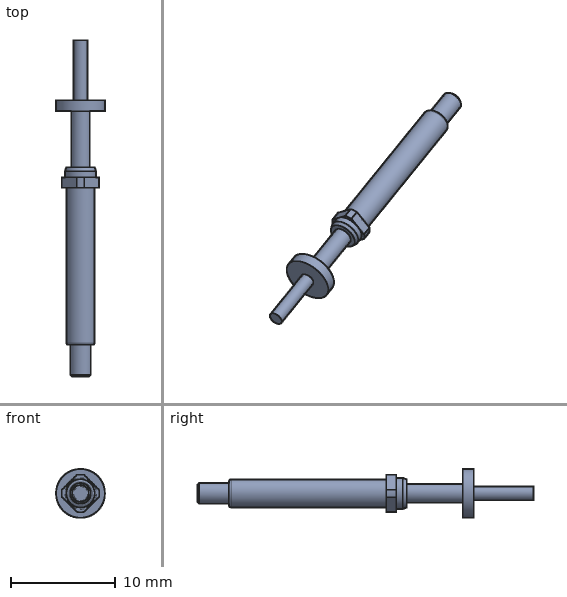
import cadquery as cq

overall_length = 32.1

pin_radius = 1.0
pin_length = 3.02
pin_chamfer = 0.2

body_radius = 1.35
body_length = 15.0
body_end_round = 0.22

flange_radius = 1.8
flange_across_flats = 3.0
flange_thickness = 1.0

collar_radius = flange_across_flats / 2
collar_length = 1.0
collar_cone_length = 0.4
collar_end_radius = body_radius

shaft_radius = 0.9
shaft_length = 5.33
disc_radius = 2.35
disc_thickness = 1.05
tail_radius = 0.67

body_front = pin_length
flange_front = body_front + body_length
collar_front = flange_front + flange_thickness
shaft_front = collar_front + collar_length
disc_front = shaft_front + shaft_length
tail_front = disc_front + disc_thickness


def round_section(start, end, radius):
    """Cylinder around the Y axis between two stations."""
    return cq.Workplane("XZ", origin=(0, start, 0)).circle(radius).extrude(start - end)


def turned_front():
    """Pin and body turned around Y, with a bevelled tip and a rounded body edge."""
    return (
        cq.Workplane("XY")
        .moveTo(0, 0)
        .lineTo(pin_radius - pin_chamfer, 0)
        .lineTo(pin_radius, pin_chamfer)
        .lineTo(pin_radius, body_front)
        .lineTo(body_radius - body_end_round, body_front)
        .radiusArc((body_radius, body_front + body_end_round), -body_end_round)
        .lineTo(body_radius, flange_front)
        .lineTo(0, flange_front)
        .close()
        .revolve(360, (0, 0, 0), (0, 1, 0))
    )


def wrench_flange():
    square = (
        cq.Workplane("XZ", origin=(0, flange_front, 0))
        .rect(flange_across_flats, flange_across_flats)
        .extrude(-flange_thickness)
        .rotate((0, 0, 0), (0, 1, 0), 45)
    )
    return square.intersect(round_section(flange_front, collar_front, flange_radius))


def collar():
    """Cylinder that tapers towards the shaft."""
    return (
        cq.Workplane("XY")
        .moveTo(0, collar_front)
        .lineTo(collar_radius, collar_front)
        .lineTo(collar_radius, shaft_front - collar_cone_length)
        .lineTo(collar_end_radius, shaft_front)
        .lineTo(0, shaft_front)
        .close()
        .revolve(360, (0, 0, 0), (0, 1, 0))
    )


result = (
    turned_front()
    .union(wrench_flange())
    .union(collar())
    .union(round_section(shaft_front, disc_front, shaft_radius))
    .union(round_section(disc_front, tail_front, disc_radius))
    .union(round_section(tail_front, overall_length, tail_radius))
)